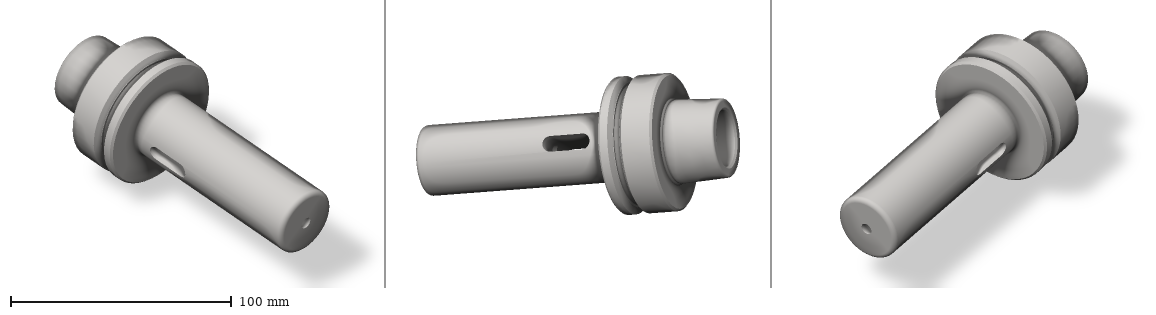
import cadquery as cq
import math

total_length = 145.0
flange_start = 25.0
flange_end = 51.0

taper_base_radius = 19.1
taper_end = 22.8
taper_ratio = 1 / 20
taper_tip_radius = taper_base_radius - taper_ratio * taper_end
tip_fillet = 1.0
neck_start = 23.9
neck_radius = 18.8
neck_fillet = flange_start - neck_start

flange_radius = 31.5
flange_chamfer = 1.0
groove_center = 42.9
groove_mouth_width = 6.7
groove_wall_end_width = 3.3
groove_floor_width = 2.9
groove_floor_radius = 27.4
groove_half_angle = math.radians(30)
groove_wall_depth = (groove_mouth_width - groove_wall_end_width) / 2 / math.tan(groove_half_angle)

shank_radius = 16.1
shank_root_fillet = 1.2
shank_end_fillet = 2.2
slot_start = 60.5
slot_end = 83.2
slot_width = 7.2

mouth_radius = 13.9
bore_radius = 13.0
mouth_chamfer = mouth_radius - bore_radius
bore_end = 9.5
undercut_radius = 15.1
undercut_slope = math.radians(45)
floor_radius = 12.2
floor_depth = 21.5

counterbore_radius = 6.4
counterbore_end = 37.7
through_hole_radius = 2.8


def revolve_profile(profile):
    """Close an (X, radius) outline along the X axis and turn it into a solid."""
    return profile.close().revolve(360, (0, 0, 0), (1, 0, 0))


def make_spigot():
    """Tapered plug, ending in a neck that blends into the flange face."""
    profile = cq.Workplane("XZ").moveTo(0, 0).lineTo(0, taper_tip_radius)
    profile = profile.lineTo(taper_end, taper_base_radius).lineTo(neck_start, neck_radius)
    profile = profile.radiusArc((flange_start, neck_radius + neck_fillet), neck_fillet)
    spigot = revolve_profile(profile.lineTo(flange_start, 0))
    return spigot.faces("<X").edges().fillet(tip_fillet)


def make_flange():
    """Collar with chamfered rims and a stepped groove around it."""
    profile = cq.Workplane("XZ").moveTo(flange_start, 0).lineTo(flange_start, flange_radius)
    profile = profile.lineTo(flange_end, flange_radius).lineTo(flange_end, 0)
    flange = revolve_profile(profile)
    flange = flange.faces("<X or >X").edges().chamfer(flange_chamfer)
    return flange.cut(make_groove())


def make_groove():
    """Ring removed from the flange: sloping walls above a narrower square floor."""
    wall_end_radius = flange_radius - groove_wall_depth
    right_side_sizes = [
        (groove_floor_width / 2, groove_floor_radius),
        (groove_floor_width / 2, wall_end_radius),
        (groove_wall_end_width / 2, wall_end_radius),
        (groove_mouth_width / 2, flange_radius),
    ]
    right_side = [(groove_center + half, radius) for half, radius in right_side_sizes]
    left_side = [(groove_center - half, radius) for half, radius in reversed(right_side_sizes)]
    return revolve_profile(cq.Workplane("XZ").polyline(right_side + left_side))


def make_shank():
    """Plain cylinder with a fillet at its root and a rounded free end."""
    profile = cq.Workplane("XZ").moveTo(flange_end, 0)
    profile = profile.lineTo(flange_end, shank_radius + shank_root_fillet)
    profile = profile.radiusArc((flange_end + shank_root_fillet, shank_radius), -shank_root_fillet)
    profile = profile.lineTo(total_length, shank_radius).lineTo(total_length, 0)
    return revolve_profile(profile).faces(">X").edges().fillet(shank_end_fillet)


def make_cavity():
    """Chamfered bore that widens into an undercut and narrows again to a flat floor."""
    widening_length = (undercut_radius - bore_radius) / math.tan(undercut_slope)
    narrowing_length = (undercut_radius - floor_radius) / math.tan(undercut_slope)
    outline = [
        (0, 0),
        (0, mouth_radius),
        (mouth_chamfer, bore_radius),
        (bore_end, bore_radius),
        (bore_end + widening_length, undercut_radius),
        (floor_depth - narrowing_length, undercut_radius),
        (floor_depth, floor_radius),
        (floor_depth, 0),
    ]
    return revolve_profile(cq.Workplane("XZ").polyline(outline))


def make_axial_hole(radius, end):
    """Round hole along X from the tip plane to the given position."""
    return cq.Workplane("YZ").circle(radius).extrude(end)


def make_slot():
    """Round-ended slot passing through the shank along Y."""
    slot_center = (slot_start + slot_end) / 2
    outline = cq.Workplane("XZ", origin=(slot_center, 0, 0)).slot2D(slot_end - slot_start, slot_width)
    return outline.extrude(shank_radius, both=True)


body = make_spigot().union(make_flange()).union(make_shank())
result = (
    body.cut(make_cavity())
    .cut(make_axial_hole(counterbore_radius, counterbore_end))
    .cut(make_axial_hole(through_hole_radius, total_length))
    .cut(make_slot())
)